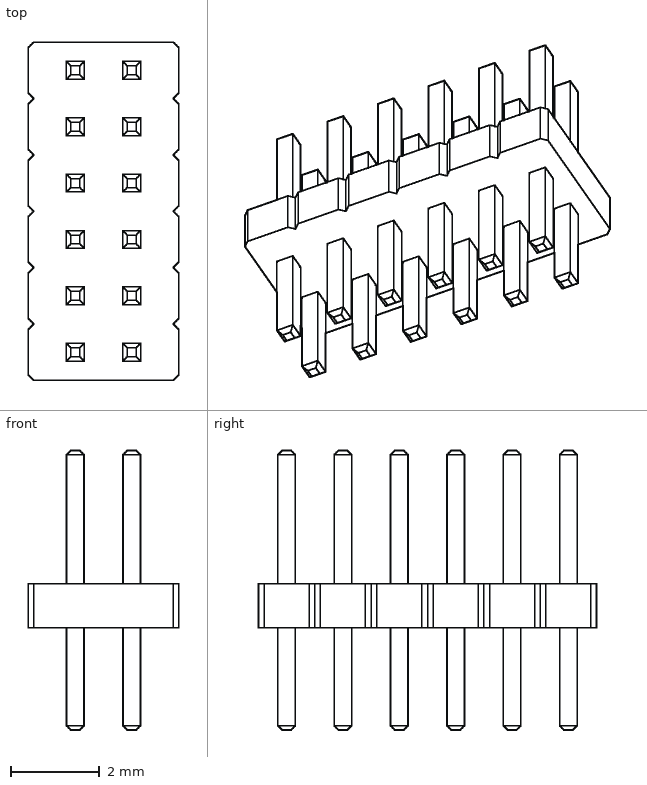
import cadquery as cq

pitch = 1.27
rows = 6
columns = 2

body_width = 3.4
body_height = 1.0
corner_chamfer = 0.127

pin_side = 0.4
pin_above_body = 3.0
pin_below_body = 2.3
pin_length = pin_below_body + body_height + pin_above_body
tip_chamfer = 0.1


def centred_positions(count):
    """Positions spaced by the pitch and centred on zero."""
    return [(index - (count - 1) / 2) * pitch for index in range(count)]


def make_body_cell(y_centre):
    """One row of the body; neighbouring corner chamfers form the V notches."""
    return (
        cq.Workplane("XY")
        .box(body_width, pitch, body_height, centered=(True, True, False))
        .edges("|Z")
        .chamfer(corner_chamfer)
        .translate((0, y_centre, 0))
    )


def make_pin(x_centre, y_centre):
    """A square pin running through the body, chamfered at both ends."""
    return (
        cq.Workplane("XY")
        .box(pin_side, pin_side, pin_length, centered=(True, True, False))
        .faces("<Z or >Z")
        .edges()
        .chamfer(tip_chamfer)
        .translate((x_centre, y_centre, -pin_below_body))
    )


row_positions = centred_positions(rows)
column_positions = centred_positions(columns)

body = make_body_cell(row_positions[0])
for y in row_positions[1:]:
    body = body.union(make_body_cell(y))
body = body.clean()

result = body
for y in row_positions:
    for x in column_positions:
        result = result.union(make_pin(x, y))